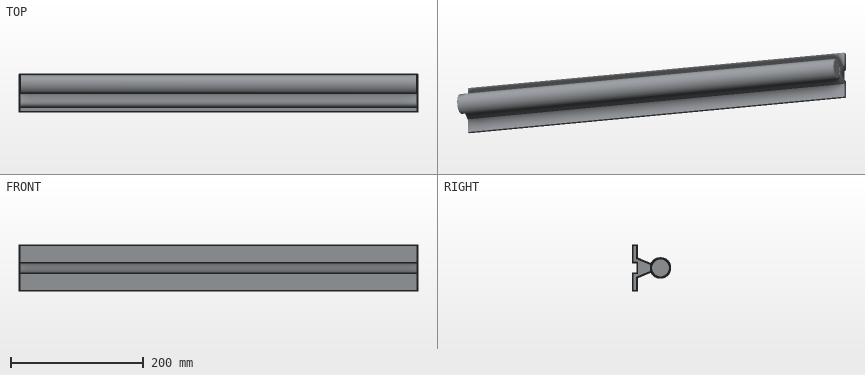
import cadquery as cq
import math

rail_length = 600.0
shaft_diameter = 30.0
shaft_end_chamfer = 1.0
shaft_axis_height = 42.0
base_width = 69.0
base_thickness = 7.0

groove_width = 16.0
groove_depth = base_thickness

web_root_width = 29.0
web_saddle_width = 11.5

shaft_radius = shaft_diameter / 2
web_saddle_half = web_saddle_width / 2
web_saddle_y = shaft_axis_height - math.sqrt(shaft_radius**2 - web_saddle_half**2)
saddle_bottom_y = shaft_axis_height - shaft_radius


def make_shaft():
    """Round guide shaft running along X, with both ends chamfered."""
    return (
        cq.Workplane("YZ")
        .center(shaft_axis_height, 0)
        .circle(shaft_radius)
        .extrude(rail_length)
        .faces("<X or >X")
        .chamfer(shaft_end_chamfer)
    )


def make_support():
    """Support rail: grooved flat base with a tapered web ending in a concave saddle for the shaft."""
    base_half = base_width / 2
    root_half = web_root_width / 2
    groove_half = groove_width / 2
    return (
        cq.Workplane("YZ")
        .moveTo(0, base_half)
        .lineTo(base_thickness, base_half)
        .lineTo(base_thickness, root_half)
        .lineTo(web_saddle_y, web_saddle_half)
        .threePointArc((saddle_bottom_y, 0), (web_saddle_y, -web_saddle_half))
        .lineTo(base_thickness, -root_half)
        .lineTo(base_thickness, -base_half)
        .lineTo(0, -base_half)
        .lineTo(0, -groove_half)
        .lineTo(groove_depth, -groove_half)
        .lineTo(groove_depth, groove_half)
        .lineTo(0, groove_half)
        .close()
        .extrude(rail_length)
    )


shaft = make_shaft()
support = make_support()

result = cq.Compound.makeCompound([shaft.val(), support.val()])